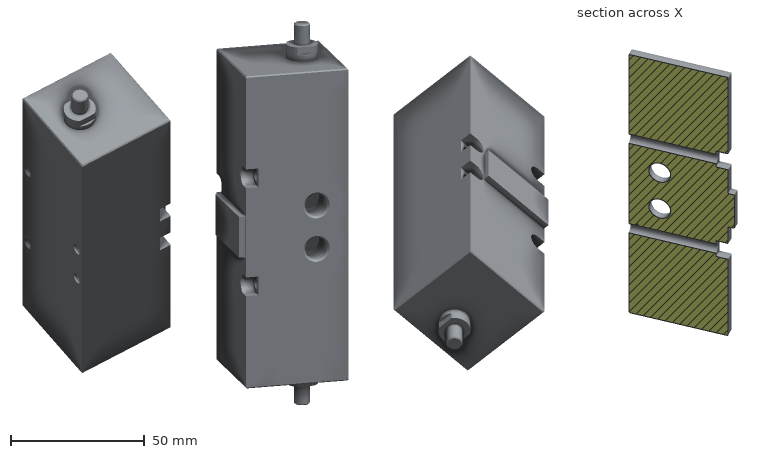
import cadquery as cq

total_length = 148.0
body_width = 40.0
body_length = 121.4
body_end_chamfer = 0.5
half_width = body_width / 2
half_length = body_length / 2

axis_y = -7.5
collar_diameter = 12.0
collar_height = 5.3
collar_flat_width = 10.0
collar_flat_height = 3.1
stem_diameter = 6.0
stem_chamfer = 0.5

plate_thickness = 2.5
plate_left = -19.5
plate_right = 12.7
plate_bottom = -9.6
plate_top = 6.2

mount_diameter = 4.1
mount_x = 16.5
left_mount_z = 21.0
right_mount_z = 8.5
slot_width = 7.3
slot_depth = 4.9

port_diameter = 8.6
port_chamfer = 0.7
port_depth = 11.8
port_z = 8.5


def make_body():
    block = cq.Workplane("XY").box(body_width, body_width, body_length)
    return block.faces("<Z or >Z").chamfer(body_end_chamfer)


def make_plate():
    return cq.Workplane("XY").box(
        plate_right - plate_left,
        plate_thickness,
        plate_top - plate_bottom,
        centered=False,
    ).translate((plate_left, half_width, plate_bottom))


def make_upper_stem():
    collar_top = half_length + collar_height
    base = cq.Workplane("XY", origin=(0, axis_y, half_length))
    collar = base.circle(collar_diameter / 2).extrude(collar_height)
    flat_band = (
        cq.Workplane("XY", origin=(0, axis_y, collar_top - collar_flat_height))
        .rect(2 * collar_diameter, 2 * collar_diameter)
        .rect(collar_flat_width, 2 * collar_diameter)
        .extrude(collar_flat_height)
    )
    stem = base.circle(stem_diameter / 2).extrude(total_length / 2 - half_length)
    stem = stem.faces(">Z").chamfer(stem_chamfer)
    return collar.cut(flat_band).union(stem)


def make_mount(side, z):
    """Through hole and round-ended slot; side is -1 for the -X edge, +1 for the +X edge."""
    x = side * mount_x
    hole = (
        cq.Workplane("XZ", origin=(x, half_width, z))
        .circle(mount_diameter / 2)
        .extrude(body_width)
    )
    slot_face = cq.Workplane("XZ", origin=(x, half_width, z))
    round_end = slot_face.circle(slot_width / 2).extrude(slot_depth)
    open_length = half_width - mount_x
    open_side = (
        slot_face.center(side * open_length / 2, 0)
        .rect(open_length, slot_width)
        .extrude(slot_depth)
    )
    return hole.union(round_end).union(open_side)


def make_port(z):
    radius = port_diameter / 2
    profile = [
        (0, 0),
        (0, radius + port_chamfer),
        (port_chamfer, radius),
        (port_depth, radius),
        (port_depth, 0),
    ]
    port = cq.Workplane("XY").polyline(profile).close().revolve(360, (0, 0, 0), (1, 0, 0))
    return port.translate((-half_width, axis_y, z))


upper_stem = make_upper_stem()
result = make_body().union(make_plate()).union(upper_stem).union(upper_stem.mirror("XY"))

for end in (-1, 1):
    result = result.cut(make_mount(-1, end * left_mount_z))
    result = result.cut(make_mount(1, end * right_mount_z))
    result = result.cut(make_port(end * port_z))